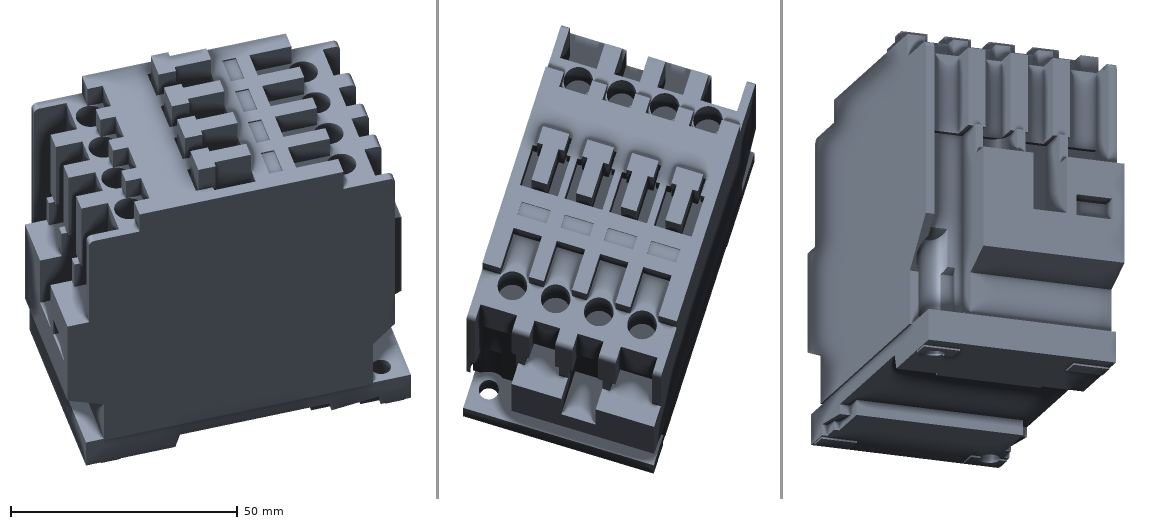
import cadquery as cq
import math

FOOT = 0.4
HOUSING_BOTTOM = 7.6
HOUSING_TOP = 70.7
COVER_TOP = 76.0
SLIDER_TOP = 82.0

WIDTH = 45.0
DEPTH = 80.4
HALF_WIDTH = WIDTH / 2
SHELF_Y = DEPTH / 2
WALL_Y = 35.25
NECK_Y = 31.8
SHELF_TOP = 45.6
SHELF_LOW = 22.4
NECK_TOP = 18.85
SPLIT_Y = 1.8
EDGE_RADIUS = 1.2
FRONT_SHELF_LEFT = -10.7
REAR_SHELF_RIGHT = 10.5

POLES = 4
LAST = POLES - 1
PITCH = 10.0
TERMINALS = [PITCH * (i - LAST / 2) for i in range(POLES)]
SCREW_RADIUS = 3.3
SCREW_DEPTH = 11.5
FRONT_SCREW_Y = -23.9
REAR_SCREW_Y = 25.1
FRONT_POCKET_Y = -27.8
REAR_POCKET_Y = 31.2
POCKET_STEP = 1.3
POCKET_OUTER = 20.5
UPPER_TOOTH = 4.0
LOWER_TOOTH = 2.05
TOOTH_STEP = 52.55
UPPER_TOOTH_Y = -33.95
NOTCH_FLOOR = 32.4
WINDOW_LEFT, WINDOW_RIGHT = 11.15, 19.6
WINDOW_LOW, WINDOW_HIGH = 32.2, 37.1
WINDOW_DEPTH = 4.1

FRONT_HOLE = (-17.9, -28.3)
REAR_HOLE = (17.9, 33.4)
HOLE_RADIUS = 2.2
GROOVE_RADIUS = 4.1
GROOVE_ROOF = 32.1
CORNER_X = 12.4
CORNER_BACK = 3.2
CORNER_ROOF = 20.1
LEDGE_TOP = 9.3

COVER_FRONT, COVER_REAR = -23.6, 23.4
COVER_FRONT_NOTCH_Y = -20.1
COVER_REAR_NOTCH_Y = 13.7
LABEL_LENGTH, LABEL_WIDTH, LABEL_DEPTH = 6.7, 3.1, 0.4
LABEL_Y = 9.0

SLIDER_PITCH = 10.3
SLIDERS = [SLIDER_PITCH * (i - LAST / 2) for i in range(POLES)]
STEM_WIDTH = 3.6
HEAD_WIDTH = 6.15
STEM_REAR, HEAD_REAR, HEAD_FRONT = 3.5, -4.9, -8.9
STEM_SLOT_WIDTH = 8.8
HEAD_SLOT_WIDTH = 6.9
SLOT_REAR, SLOT_STEP, SLOT_FRONT = 3.9, -5.65, -9.6

BASE_HALF_WIDTH = 22.05
BASE_FRONT, BASE_REAR = -35.8, 39.0
RAIL_TOP = 3.9
RAIL_REAR = 16.7
RAIL_FRONT = -14.2
RAIL_FRONT_LOW = -15.25
HOOK_TIP, HOOK_TOP = -13.3, 3.3
HOOK_HALF_WIDTH = 12.3
CLIP_RECESS_DEPTH = 2.5
CLIP_RECESS_NEAR, CLIP_RECESS_FAR = 20.75, 32.05
CLIP_ROOF_NEAR, CLIP_ROOF_FAR = 1.6, 2.95
CLIP_STEP_Y = 27.7
CLIP_STEP_DEPTH = 1.2
PAD_X, PAD_LENGTH, PAD_WIDTH = 17.6, 8.45, 4.4
PAD_FRONT_Y, PAD_REAR_Y = -30.1, 35.3


def box(x0, x1, y0, y1, z0, z1):
    """Box between two corners."""
    return cq.Workplane("XY").box(x1 - x0, y1 - y0, z1 - z0, centered=False).translate((x0, y0, z0))


def bar(points, x0, x1):
    """Outline in the YZ plane, extruded from x0 to x1."""
    return cq.Workplane("YZ").polyline(points).close().extrude(x1 - x0).translate((x0, 0, 0))


def cylinder(x, y, radius, z0, z1):
    return cq.Workplane("XY").center(x, y).circle(radius).extrude(z1 - z0).translate((0, 0, z0))


def housing_block():
    half_outline = [
        (NECK_Y, HOUSING_BOTTOM), (NECK_Y, NECK_TOP), (SHELF_Y, SHELF_LOW),
        (SHELF_Y, SHELF_TOP), (WALL_Y, SHELF_TOP), (WALL_Y, HOUSING_TOP),
    ]
    outline = half_outline + [(-y, z) for y, z in reversed(half_outline)]
    block = bar(outline, -HALF_WIDTH, HALF_WIDTH)
    block = block.faces(">Z").edges("|X").fillet(EDGE_RADIUS)
    block = block.cut(box(-HALF_WIDTH, FRONT_SHELF_LEFT, -SHELF_Y, -WALL_Y, 0, HOUSING_TOP))
    return block.cut(box(REAR_SHELF_RIGHT, HALF_WIDTH, WALL_Y, SHELF_Y, 0, HOUSING_TOP))


def upper_sides(index):
    """Left and right side of a wire pocket above the step."""
    left = -POCKET_OUTER if index == 0 else TERMINALS[index] - (PITCH - UPPER_TOOTH) / 2
    right = POCKET_OUTER if index == LAST else TERMINALS[index] + (PITCH - UPPER_TOOTH) / 2
    return left, right


def lower_sides(index):
    """Left and right side of a wire pocket below the step; the first one ends at the front shelf."""
    left = -POCKET_OUTER if index == 0 else TERMINALS[index] - (PITCH - LOWER_TOOTH) / 2
    right = POCKET_OUTER if index == LAST else TERMINALS[index] + (PITCH - LOWER_TOOTH) / 2
    if index == 0:
        right = FRONT_SHELF_LEFT
    return left, right


def wire_pocket(index, back_y, floor):
    """One wire pocket, open towards the outside in Y, stepped wider and deeper at its lower part."""
    outward = math.copysign(1, back_y)
    outer_y = outward * SHELF_Y
    upper_y = sorted((back_y, outer_y))
    lower_y = sorted((back_y - outward * POCKET_STEP, outer_y))
    upper = box(*upper_sides(index), *upper_y, TOOTH_STEP, HOUSING_TOP)
    return upper.union(box(*lower_sides(index), *lower_y, floor, TOOTH_STEP))


def round_pocket(index, back_y):
    """Front wire pocket with a half-round back in its lower part."""
    left, right = lower_sides(index)
    radius = (right - left) / 2
    axis_y = back_y + POCKET_STEP - radius
    upper = box(*upper_sides(index), -SHELF_Y, back_y, TOOTH_STEP, HOUSING_TOP)
    mouth = box(left, right, -SHELF_Y, axis_y, SHELF_TOP, TOOTH_STEP)
    return upper.union(mouth).union(cylinder((left + right) / 2, axis_y, radius, SHELF_TOP, TOOTH_STEP))


def front_tooth_trim():
    """Sets the upper pocket walls back from the front edge of the side walls."""
    return box(-POCKET_OUTER, POCKET_OUTER, -SHELF_Y, UPPER_TOOTH_Y, TOOTH_STEP, HOUSING_TOP)


def screw_holes(y):
    centres = [(x, y) for x in TERMINALS]
    holes = cq.Workplane("XY").pushPoints(centres).circle(SCREW_RADIUS).extrude(SCREW_DEPTH)
    return holes.translate((0, 0, HOUSING_TOP - SCREW_DEPTH))


def corner_recess(hole, floor):
    """Driver clearance over a mounting hole, opening outwards in Y and to the side in X."""
    x, y = hole
    outward = math.copysign(1, y)
    back = y - outward * CORNER_BACK
    reach = SHELF_Y - abs(back)
    outline = [
        (back, floor), (back, CORNER_ROOF),
        (back + outward * reach, CORNER_ROOF + reach), (back + outward * reach, floor),
    ]
    x0, x1 = sorted((math.copysign(CORNER_X, x), math.copysign(HALF_WIDTH, x)))
    recess = bar(outline, x0, x1)

    inner = y - outward * GROOVE_RADIUS
    outer = y + outward * GROOVE_RADIUS
    slope = [
        (inner, floor), (inner, GROOVE_ROOF - GROOVE_RADIUS),
        (outer, GROOVE_ROOF + GROOVE_RADIUS), (outer, floor),
    ]
    groove = cylinder(x, y, GROOVE_RADIUS, floor, GROOVE_ROOF + GROOVE_RADIUS)
    groove = groove.intersect(bar(slope, x - GROOVE_RADIUS, x + GROOVE_RADIUS))
    return recess.union(groove)


def full_housing():
    cutters = [
        wire_pocket(0, FRONT_POCKET_Y, LEDGE_TOP),
        round_pocket(1, FRONT_POCKET_Y),
        wire_pocket(2, FRONT_POCKET_Y, NOTCH_FLOOR),
        wire_pocket(3, FRONT_POCKET_Y, SHELF_TOP),
        wire_pocket(0, REAR_POCKET_Y, SHELF_TOP),
        wire_pocket(1, REAR_POCKET_Y, NOTCH_FLOOR),
        wire_pocket(2, REAR_POCKET_Y, SHELF_TOP),
        wire_pocket(3, REAR_POCKET_Y, HOUSING_BOTTOM),
        front_tooth_trim(),
        screw_holes(FRONT_SCREW_Y),
        screw_holes(REAR_SCREW_Y),
        corner_recess(FRONT_HOLE, HOUSING_BOTTOM),
        corner_recess(REAR_HOLE, HOUSING_BOTTOM),
        box(WINDOW_LEFT, WINDOW_RIGHT, -SHELF_Y, WINDOW_DEPTH - SHELF_Y, WINDOW_LOW, WINDOW_HIGH),
    ]
    body = housing_block()
    for cutter in cutters:
        body = body.cut(cutter)
    return body


def slider(x):
    """T-shaped slider standing on the housing."""
    stem = box(x - STEM_WIDTH / 2, x + STEM_WIDTH / 2, HEAD_REAR, STEM_REAR, HOUSING_TOP, SLIDER_TOP)
    head = box(x - HEAD_WIDTH / 2, x + HEAD_WIDTH / 2, HEAD_FRONT, HEAD_REAR, HOUSING_TOP, SLIDER_TOP)
    return stem.union(head)


def make_front_housing(housing):
    """Housing in front of the joint, together with the sliders."""
    front = housing.intersect(box(-HALF_WIDTH, HALF_WIDTH, -SHELF_Y, SPLIT_Y, HOUSING_BOTTOM, HOUSING_TOP))
    for x in SLIDERS:
        front = front.union(slider(x))
    return front


def make_rear_housing(housing):
    """Housing behind the joint."""
    return housing.intersect(box(-HALF_WIDTH, HALF_WIDTH, SPLIT_Y, SHELF_Y, HOUSING_BOTTOM, HOUSING_TOP))


def make_cover():
    cover = box(-HALF_WIDTH, HALF_WIDTH, COVER_FRONT, COVER_REAR, HOUSING_TOP, COVER_TOP)
    for x in TERMINALS:
        left, right = x - SCREW_RADIUS, x + SCREW_RADIUS
        cover = cover.cut(box(left, right, COVER_FRONT, COVER_FRONT_NOTCH_Y, HOUSING_TOP, COVER_TOP))
        cover = cover.cut(box(left, right, COVER_REAR_NOTCH_Y, COVER_REAR, HOUSING_TOP, COVER_TOP))
        cover = cover.cut(box(x - LABEL_LENGTH / 2, x + LABEL_LENGTH / 2, LABEL_Y - LABEL_WIDTH / 2,
                              LABEL_Y + LABEL_WIDTH / 2, COVER_TOP - LABEL_DEPTH, COVER_TOP))
    for x in SLIDERS:
        stem_half, head_half = STEM_SLOT_WIDTH / 2, HEAD_SLOT_WIDTH / 2
        cover = cover.cut(box(x - stem_half, x + stem_half, SLOT_STEP, SLOT_REAR, HOUSING_TOP, COVER_TOP))
        cover = cover.cut(box(x - head_half, x + head_half, SLOT_FRONT, SLOT_STEP, HOUSING_TOP, COVER_TOP))
    return cover


def rail_channel():
    outline = [(RAIL_REAR, FOOT), (RAIL_REAR, RAIL_TOP), (RAIL_FRONT, RAIL_TOP), (RAIL_FRONT_LOW, FOOT)]
    return bar(outline, -BASE_HALF_WIDTH, BASE_HALF_WIDTH)


def rail_hook():
    outline = [(RAIL_FRONT_LOW, FOOT), (RAIL_FRONT, FOOT), (HOOK_TIP, HOOK_TOP), (RAIL_FRONT_LOW, HOOK_TOP)]
    return bar(outline, -HOOK_HALF_WIDTH, HOOK_HALF_WIDTH)


def clip_recess(side):
    """Recess in one side of the base beside the rail clip."""
    outer = side * BASE_HALF_WIDTH
    inner = sorted((outer, outer - side * CLIP_RECESS_DEPTH))
    shallow = sorted((outer, outer - side * CLIP_STEP_DEPTH))
    roof_slope = (CLIP_ROOF_FAR - CLIP_ROOF_NEAR) / (CLIP_RECESS_FAR - CLIP_RECESS_NEAR)
    roof_step = CLIP_ROOF_NEAR + roof_slope * (CLIP_STEP_Y - CLIP_RECESS_NEAR)
    channel = box(*inner, RAIL_REAR, CLIP_RECESS_NEAR, FOOT, RAIL_TOP)
    near = bar([(CLIP_RECESS_NEAR, FOOT), (CLIP_RECESS_NEAR, CLIP_ROOF_NEAR),
                (CLIP_STEP_Y, roof_step), (CLIP_STEP_Y, FOOT)], *inner)
    far = bar([(CLIP_STEP_Y, FOOT), (CLIP_STEP_Y, roof_step),
               (CLIP_RECESS_FAR, CLIP_ROOF_FAR), (CLIP_RECESS_FAR, FOOT)], *shallow)
    return channel.union(near).union(far)


def make_base():
    base = box(-BASE_HALF_WIDTH, BASE_HALF_WIDTH, BASE_FRONT, BASE_REAR, FOOT, HOUSING_BOTTOM)
    base = base.cut(rail_channel()).union(rail_hook())
    for side in (-1, 1):
        base = base.cut(clip_recess(side))
    pad_centres = [(x, y) for x in (-PAD_X, PAD_X) for y in (PAD_FRONT_Y, PAD_REAR_Y)]
    base = base.union(cq.Workplane("XY").pushPoints(pad_centres).rect(PAD_LENGTH, PAD_WIDTH).extrude(FOOT))
    for x, y in (FRONT_HOLE, REAR_HOLE):
        base = base.cut(cylinder(x, y, HOLE_RADIUS, 0, HOUSING_BOTTOM))
    return base


base = make_base()
housing = full_housing()
front_housing = make_front_housing(housing)
rear_housing = make_rear_housing(housing)
cover = make_cover()

result = cq.Compound.makeCompound([
    base.solids().val(),
    front_housing.solids().val(),
    rear_housing.solids().val(),
    cover.solids().val(),
])